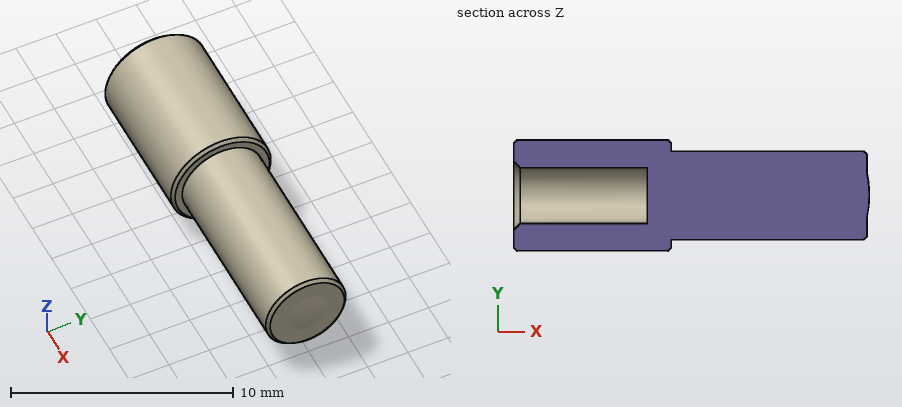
import cadquery as cq
import math

total_length = 16.0
head_length = 7.1
head_radius = 5.0 / 2
shank_radius = 4.0 / 2
edge_chamfer = 0.15

button_radius = 1.0
button_height = 0.1
shank_end_x = total_length - button_height

bore_radius = 2.5 / 2
bore_depth = 6.0
countersink_radius = 3.1 / 2
countersink_depth = countersink_radius - bore_radius


def revolve_about_x(profile):
    """Turn a closed half profile, drawn as (x, radius), about the X axis."""
    return profile.close().revolve(360, (0, 0, 0), (1, 0, 0))


def make_body():
    """Chamfered head and thinner shank with a button on its end."""
    button_sphere_radius = (button_radius**2 + button_height**2) / (2 * button_height)
    sphere_center_x = total_length - button_sphere_radius
    arc_mid_radius = button_radius / 2
    arc_mid_x = sphere_center_x + math.sqrt(button_sphere_radius**2 - arc_mid_radius**2)
    profile = (
        cq.Workplane("XY")
        .moveTo(0, 0)
        .lineTo(0, head_radius - edge_chamfer)
        .lineTo(edge_chamfer, head_radius)
        .lineTo(head_length - edge_chamfer, head_radius)
        .lineTo(head_length, head_radius - edge_chamfer)
        .lineTo(head_length, shank_radius)
        .lineTo(shank_end_x - edge_chamfer, shank_radius)
        .lineTo(shank_end_x, shank_radius - edge_chamfer)
        .lineTo(shank_end_x, button_radius)
        .threePointArc((arc_mid_x, arc_mid_radius), (total_length, 0))
    )
    return revolve_about_x(profile)


def make_bore():
    """Flat-bottomed bore with its countersunk mouth."""
    profile = (
        cq.Workplane("XY")
        .moveTo(0, 0)
        .lineTo(0, countersink_radius)
        .lineTo(countersink_depth, bore_radius)
        .lineTo(bore_depth, bore_radius)
        .lineTo(bore_depth, 0)
    )
    return revolve_about_x(profile)


result = make_body().cut(make_bore())